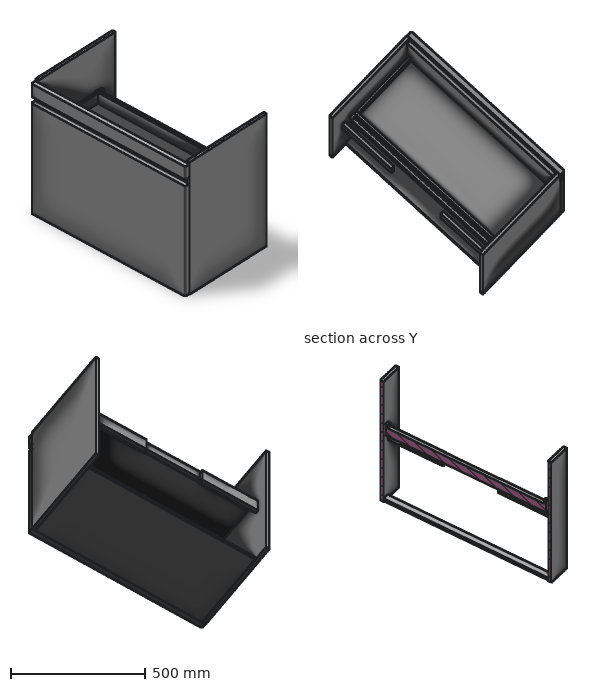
import cadquery as cq

width = 782.0
depth = 446.0
height = 606.0
board = 15.0

front_thickness = 23.0
side_setback = 1.5
corner_radius = 6.0
front_top_drop = 8.5
upper_front_height = 60.0
grip_gap = 30.0
front_bottom = 3.0

base_back = 374.0
upright_top = 563.0
inner_width = width - 2 * board

drawer_clearance = 9.0
drawer_wall = 12.0
drawer_back = 362.0
partition_back = 338.5
partition_top = 401.0
side_drop = 3.0
tray_depth = 50.0
rear_rail_thickness = 15.0
rear_rail_drop = 16.0
floor_gap = 3.0

bar_length = 251.0
bar_front = 377.0
bar_height = 60.0

upper_front_top = height - front_top_drop
upper_front_bottom = upper_front_top - upper_front_height
lower_front_top = upper_front_bottom - grip_gap
side_front = front_thickness + side_setback
upright_back = side_front + board
floor_top = partition_top - tray_depth
drawer_bottom = floor_top - drawer_wall


def block(x0, x1, y0, y1, z0, z1):
    """Rectangular board between the given limits."""
    return cq.Workplane("XY").box(x1 - x0, y1 - y0, z1 - z0, centered=False).translate((x0, y0, z0))


def side_panel(x0):
    return block(x0, x0 + board, side_front, depth, 0, height)


def front_panel(z0, z1):
    """Full-width front with both outer vertical edges rounded."""
    panel = block(0, width, 0, front_thickness, z0, z1)
    return panel.faces("<Y").edges("|Z").fillet(corner_radius)


def carcass_base():
    """Bottom board with an upright board behind the fronts."""
    x0 = board
    x1 = width - board
    bottom = block(x0, x1, front_thickness, base_back, front_bottom, front_bottom + board)
    upright = block(x0, x1, front_thickness, upright_back, front_bottom, upright_top)
    return bottom.union(upright)


def back_bar(x0):
    return block(x0, x0 + bar_length, bar_front, bar_front + board, floor_top - bar_height, floor_top)


def drawer():
    """Tray with a partition across its sides and a lower rail at the rear."""
    x0 = board + drawer_clearance
    x1 = width - x0
    side_top = partition_top - side_drop
    rail_front = drawer_back - rear_rail_thickness
    body = block(x0, x1, upright_back, rail_front - floor_gap, drawer_bottom, floor_top)
    for wall_x in (x0, x1 - drawer_wall):
        body = body.union(
            block(wall_x, wall_x + drawer_wall, upright_back, drawer_back, drawer_bottom, side_top)
        )
    partition = block(x0, x1, partition_back - drawer_wall, partition_back, drawer_bottom, partition_top)
    rear_rail = block(x0, x1, rail_front, drawer_back, drawer_bottom, side_top - rear_rail_drop)
    return body.union(partition).union(rear_rail)


side_panels = [side_panel(x0) for x0 in (0, width - board)]
upper_front = front_panel(upper_front_bottom, upper_front_top)
lower_front = front_panel(front_bottom, lower_front_top)
base = carcass_base()
tray_drawer = drawer()
back_bars = [back_bar(x0) for x0 in (board, board + inner_width - bar_length)]

bodies = [*side_panels, upper_front, lower_front, base, tray_drawer, *back_bars]
result = cq.Compound.makeCompound([body.val() for body in bodies])